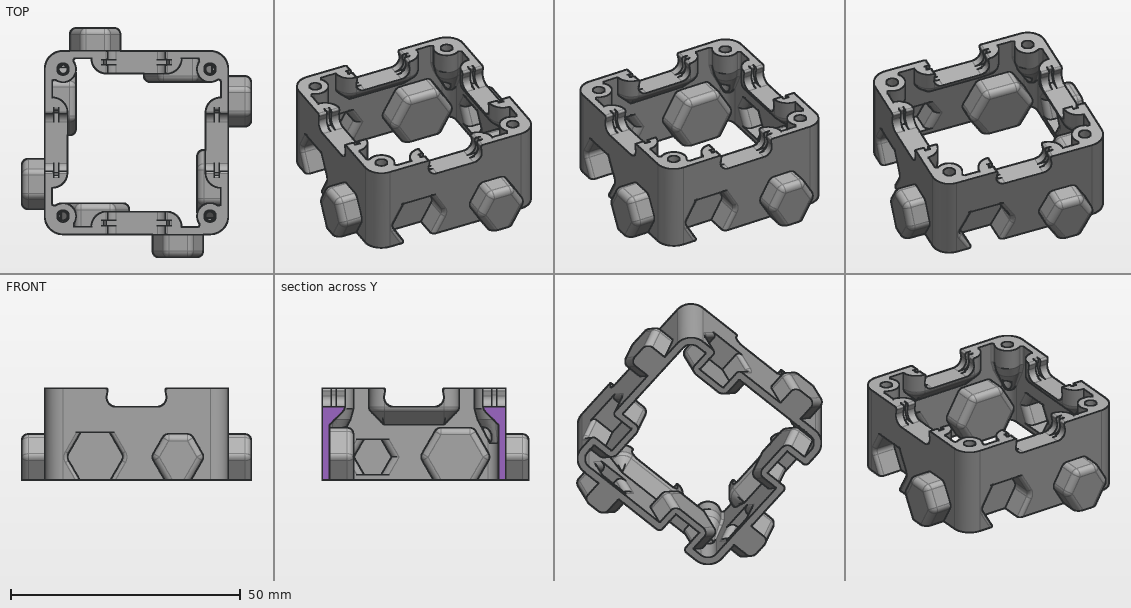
import cadquery as cq
import math

FRAME_SIDE = 40.0
HEIGHT = 20.0
CORNER_RADIUS = 4.0
WALL = 1.65
HALF = FRAME_SIDE / 2
INNER_HALF = HALF - WALL

HEX_OFFSET = 9.0
HEX_Z = 5.05
HEX_SLANT = math.radians(30)
PEG_LENGTH = 5.0
PEG_APOTHEM = 5.0
CLEARANCE = 0.4
SHELL = 1.25
EDGE_RADIUS = 1.5
END_RADIUS = 1.45
SOCKET_APOTHEM = PEG_APOTHEM + CLEARANCE
SOCKET_DEPTH = PEG_LENGTH + CLEARANCE
SOCKET_FLARE = 0.85
BULGE_APOTHEM = SOCKET_APOTHEM + SHELL
BULGE_TOP = 6.35
BULGE_DEPTH = 6.85

HOLLOW_HALF_HEIGHT = 3.85
HOLLOW_APOTHEM = 3.55
HOLLOW_DEPTH = 4.9
HOLLOW_FLARE = 1.4

RAIL_WIDTH = 5.0
RAIL_UNDER_RADIUS = 1.5
RAIL_FLAT_HALF = 6.5
CUTOUT_DEPTH = 4.0
CUTOUT_RADIUS = 2.0
CUTOUT_FLOOR_HALF = 4.5
LIP_RADIUS = 0.45
LIP_HALF = 6.7
GROOVE_DEPTH = 0.85
GROOVE_WIDTH = 1.1
FLOOR_Z = HEIGHT - CUTOUT_DEPTH

POST_RADIUS = 2.85
POST_FILLET = 0.5
POST_BOTTOM = 15.5
SHOULDER_Z = 13.25
SHOULDER_SCALE = 0.88
TIP_Z = 8.0
TIP_SCALE = 0.35
HOLE_TOP_DIAMETER = 2.6
HOLE_END_DIAMETER = 1.75


def on_every_side(feature):
    """Repeat a front-wall feature on all four walls."""
    ring = feature
    for turn in (90, 180, 270):
        ring = ring.union(feature.rotate((0, 0, 0), (0, 0, 1), turn))
    return ring


def plane_at(x, y):
    """Plane parallel to the front wall, whose normal points outward (-Y)."""
    return cq.Workplane(cq.Plane((x, y, HEX_Z), (1, 0, 0), (0, -1, 0)))


def frame():
    outer = cq.Workplane().rect(FRAME_SIDE, FRAME_SIDE).extrude(HEIGHT).edges("|Z").fillet(CORNER_RADIUS)
    inner = cq.Workplane().rect(2 * INNER_HALF, 2 * INNER_HALF).extrude(HEIGHT)
    return outer.cut(inner.edges("|Z").fillet(CORNER_RADIUS - WALL))


def hex_block(x, y, apothem, top, length):
    """Rounded block on a hexagon whose lower sides run on below the base plane, where they are cut off.

    Top is the height of the flat top above the hexagon centre. Negative length runs inward.
    """
    corner = apothem / math.cos(HEX_SLANT)
    shoulder = corner - top * math.tan(HEX_SLANT)
    foot = -corner / math.tan(HEX_SLANT)
    outline = [(corner, 0), (shoulder, top), (-shoulder, top), (-corner, 0), (0, foot)]
    block = plane_at(x, y).polyline(outline).close().extrude(length)
    end = "<Y" if length > 0 else ">Y"
    block = block.edges("|Y").fillet(EDGE_RADIUS).faces(end).edges().fillet(END_RADIUS)
    above_base = cq.Workplane().box(2 * FRAME_SIDE, 2 * FRAME_SIDE, HEIGHT, centered=(True, True, False))
    return block.intersect(above_base)


def hex_cavity(x, mouth_y, apothem, half_height, depth, flare, corner_radius=0):
    """Blind hexagonal cavity with rounded rims on its slanted sides and flat top and bottom.

    Negative depth runs outward. The slanted sides are built as a diamond, then cut flat.
    """
    corner = apothem / math.cos(HEX_SLANT)
    tip = corner / math.tan(HEX_SLANT)
    diamond = plane_at(x, mouth_y).polyline([(corner, 0), (0, tip), (-corner, 0), (0, -tip)]).close()
    cavity = diamond.extrude(-depth)
    if corner_radius:
        cavity = cavity.edges("|Y").fillet(corner_radius)
    slab_side = 4 * tip
    slab = plane_at(x, mouth_y).rect(slab_side, slab_side).extrude(math.copysign(flare, depth))
    rim_centre = cq.Vector(x, mouth_y, HEX_Z)
    reach = cq.Vector(1.5 * tip, flare / 2, 1.5 * tip)
    rim = cq.selectors.BoxSelector((rim_centre - reach).toTuple(), (rim_centre + reach).toTuple())
    flared = slab.union(cavity).edges(rim).fillet(flare)
    flat_ends = plane_at(x, mouth_y).rect(slab_side, 2 * half_height).extrude(-depth)
    return flared.intersect(flat_ends)


def rail_section(origin):
    """Half section of the rail: upright inner face curving into a 45 degree underside."""
    reach = RAIL_WIDTH - WALL
    bend = math.radians(45)

    def under_curve(turn):
        inset = RAIL_UNDER_RADIUS * (1 - math.cos(turn))
        return (reach - inset, FLOOR_Z - RAIL_UNDER_RADIUS * math.sin(turn))

    edge_y, slope_top = under_curve(bend)
    return (
        cq.Workplane("YZ", origin=origin)
        .moveTo(0, HEIGHT).lineTo(reach, HEIGHT).lineTo(reach, FLOOR_Z)
        .threePointArc(under_curve(bend / 2), (edge_y, slope_top))
        .lineTo(0, slope_top - edge_y).close()
    )


def rail():
    """Rail on the inner face of the front wall, rounded at both ends."""
    origin = (-RAIL_FLAT_HALF, -INNER_HALF, 0)
    round_end = rail_section(origin).revolve(90, (0, 0, 0), (0, 1, 0))
    half = rail_section(origin).extrude(RAIL_FLAT_HALF).union(round_end)
    return half.union(half.mirror("YZ"))


def notch(spread, y, width):
    """Cutout with round lower corners and rounded lips, its sides moved outward by the spread."""
    radius = CUTOUT_RADIUS + spread
    centre_x = CUTOUT_FLOOR_HALF
    centre_z = FLOOR_Z + CUTOUT_RADIUS
    lip_x = LIP_HALF + spread
    lip_z = HEIGHT - LIP_RADIUS
    run = lip_x - centre_x
    rise = lip_z - centre_z
    lean = math.atan2(rise, run) - math.acos((radius + LIP_RADIUS) / math.hypot(run, rise))
    side_bottom = (centre_x + radius * math.cos(lean), centre_z + radius * math.sin(lean))
    side_top = (lip_x - LIP_RADIUS * math.cos(lean), lip_z - LIP_RADIUS * math.sin(lean))
    lip_turn = (math.pi / 2 + math.pi + lean) / 2
    lip_middle = (lip_x + LIP_RADIUS * math.cos(lip_turn), lip_z + LIP_RADIUS * math.sin(lip_turn))
    floor_x = centre_x + math.sqrt(radius ** 2 - CUTOUT_RADIUS ** 2)
    half = (
        cq.Workplane("XZ", origin=(0, y + width, 0))
        .moveTo(0, FLOOR_Z).lineTo(floor_x, FLOOR_Z)
        .threePointArc((centre_x + radius, centre_z), side_bottom)
        .lineTo(*side_top)
        .threePointArc(lip_middle, (lip_x, HEIGHT))
        .lineTo(0, HEIGHT).close().extrude(width)
    )
    return half.union(half.mirror("YZ"))


def post_outline(scale):
    """Post outline about the inner wall corner: round nose blended into both walls."""
    axis = CORNER_RADIUS - WALL
    drop = axis - POST_FILLET
    run = math.sqrt((POST_RADIUS + POST_FILLET) ** 2 - drop ** 2)
    blend_x = axis + run
    share = POST_FILLET / (POST_RADIUS + POST_FILLET)
    touch = (blend_x - run * share, POST_FILLET + drop * share)
    mid_angle = (math.pi - math.atan2(drop, run) + 1.5 * math.pi) / 2
    mid = (blend_x + POST_FILLET * math.cos(mid_angle), POST_FILLET + POST_FILLET * math.sin(mid_angle))
    nose = axis + POST_RADIUS / math.sqrt(2)
    points = [(blend_x, 0), mid, touch, (nose, nose), touch[::-1], mid[::-1], (0, blend_x)]
    return [cq.Vector(scale * px, scale * py) for px, py in points]


def post_wire(scale, z):
    """Closed post outline at height z, scaled about the inner wall corner."""
    start, mid_a, touch_a, nose, touch_b, mid_b, end = post_outline(scale)
    corner = cq.Vector(0, 0)
    edges = [
        cq.Edge.makeLine(corner, start),
        cq.Edge.makeThreePointArc(start, mid_a, touch_a),
        cq.Edge.makeThreePointArc(touch_a, nose, touch_b),
        cq.Edge.makeThreePointArc(touch_b, mid_b, end),
        cq.Edge.makeLine(end, corner),
    ]
    return cq.Wire.assembleEdges(edges).translate(cq.Vector(-INNER_HALF, -INNER_HALF, z))


def post():
    """Upright post whose lower part shrinks toward the inner wall corner in two tapers."""
    upright = cq.Solid.extrudeLinear(post_wire(1, POST_BOTTOM), [], cq.Vector(0, 0, HEIGHT - POST_BOTTOM))
    body = cq.Workplane(upright)
    sections = [(1, POST_BOTTOM), (SHOULDER_SCALE, SHOULDER_Z), (TIP_SCALE, TIP_Z)]
    for upper, lower in zip(sections, sections[1:]):
        taper = cq.Solid.makeLoft([post_wire(*lower), post_wire(*upper)], True)
        body = body.union(cq.Workplane(taper))
    return body


def screw_hole():
    """Slightly conical hole down the axis of a corner post."""
    axis = HALF - CORNER_RADIUS
    return cq.Workplane(cq.Solid.makeCone(
        HOLE_TOP_DIAMETER / 2, HOLE_END_DIAMETER / 2, HEIGHT - TIP_Z,
        cq.Vector(-axis, -axis, HEIGHT), cq.Vector(0, 0, -1),
    ))


peg = hex_block(HEX_OFFSET, -INNER_HALF, PEG_APOTHEM, PEG_APOTHEM, PEG_LENGTH + WALL)
bulge = hex_block(-HEX_OFFSET, -INNER_HALF, BULGE_APOTHEM, BULGE_TOP, WALL - BULGE_DEPTH)
socket = hex_cavity(-HEX_OFFSET, -HALF, SOCKET_APOTHEM, SOCKET_APOTHEM, SOCKET_DEPTH, SOCKET_FLARE, EDGE_RADIUS)
hollow = hex_cavity(HEX_OFFSET, -INNER_HALF, HOLLOW_APOTHEM, HOLLOW_HALF_HEIGHT, -HOLLOW_DEPTH, HOLLOW_FLARE)
groove_y = -HALF + (RAIL_WIDTH - GROOVE_WIDTH) / 2
cutout = notch(0, -HALF, RAIL_WIDTH).union(notch(GROOVE_DEPTH, groove_y, GROOVE_WIDTH))

result = frame()
for added in (peg, bulge, rail(), post()):
    result = result.union(on_every_side(added))
for removed in (socket, hollow, cutout, screw_hole()):
    result = result.cut(on_every_side(removed))